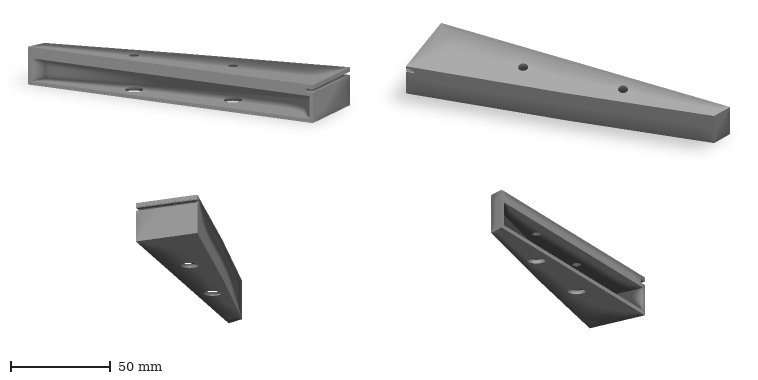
import cadquery as cq
import math

length = 160.9
body_depth = 34.0
height = 20.0

front_right_x = 155.5
left_corner = (5.1, 8.7)
back_knee = (78.8, 21.4)

wall = 2.0
floor_thickness = 2.0
cavity_top = 14.0

groove_depth = 4.0
groove_bottom = 16.0
groove_top = 17.9

strip_outer_inset = 0.3
strip_width = 2.0
strip_thickness = 0.3
strip_overlap = 0.2
strip_overhang = 0.5
depth = body_depth + strip_overhang

screw_diameter = 5.0
access_diameter = 9.0
hole_centers = [(54.2, 8.5), (106.2, 12.9)]

outline = [(0, 0), left_corner, back_knee, (length, body_depth), (front_right_x, 0)]


def shifted_line(start, end, distance):
    """Move a line sideways to its right; return a point on it and its direction."""
    dx = end[0] - start[0]
    dy = end[1] - start[1]
    span = math.hypot(dx, dy)
    point = (start[0] + distance * dy / span, start[1] - distance * dx / span)
    return point, (dx, dy)


def crossing(first, second):
    """Return the point where two lines meet."""
    (x1, y1), (dx1, dy1) = first
    (x2, y2), (dx2, dy2) = second
    along = ((x2 - x1) * dy2 - (y2 - y1) * dx2) / (dx1 * dy2 - dy1 * dx2)
    return (x1 + along * dx1, y1 + along * dy1)


def prism(points, bottom, top):
    """Extrude a closed outline between two heights."""
    return cq.Workplane("XY").workplane(offset=bottom).polyline(points).close().extrude(top - bottom)


def cavity():
    """Pocket that follows the outline inside the walls and opens at the front."""
    front = ((0, 0), (length, 0))
    sides = [shifted_line(outline[i], outline[i + 1], wall) for i in range(len(outline) - 1)]
    loop = [front] + sides
    corners = [crossing(loop[i - 1], loop[i]) for i in range(len(loop))]
    return prism(corners, floor_thickness, cavity_top)


def side_band(outer_inset, inner_inset, back_y, bottom, top):
    """Prism between two planes parallel to the slanted right side, set in from it along X."""
    lean = (length - front_right_x) / body_depth
    back_right_x = front_right_x + lean * back_y
    corners = [
        (front_right_x - inner_inset, 0),
        (back_right_x - inner_inset, back_y),
        (back_right_x - outer_inset, back_y),
        (front_right_x - outer_inset, 0),
    ]
    return prism(corners, bottom, top)


def groove():
    """Slot along the right side, cut past the back corner of the body."""
    return side_band(0, groove_depth, depth, groove_bottom, groove_top)


def roof_strip():
    """Thin strip under the groove roof that sticks out a little at the back."""
    inner_inset = strip_outer_inset + strip_width
    bottom = groove_top - strip_thickness
    return side_band(strip_outer_inset, inner_inset, depth, bottom, groove_top + strip_overlap)


def holes(diameter, bottom, top):
    """Vertical cylinders at both screw positions."""
    plane = cq.Workplane("XY").workplane(offset=bottom)
    return plane.pushPoints(hole_centers).circle(diameter / 2).extrude(top - bottom)


result = (
    prism(outline, 0, height)
    .cut(cavity())
    .cut(groove())
    .union(roof_strip())
    .cut(holes(screw_diameter, cavity_top, height))
    .cut(holes(access_diameter, 0, floor_thickness))
)